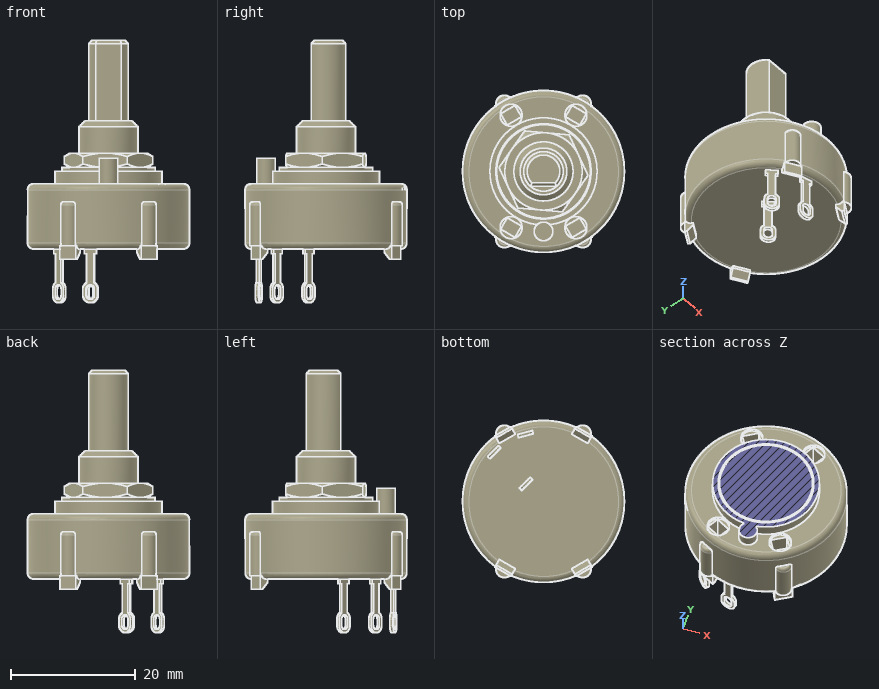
import cadquery as cq
import math

housing_radius = 13.0
housing_height = 10.5
housing_round = 1.0

collar_diameter = 17.2
collar_height = 2.0
washer_diameter = 15.0
washer_recess_diameter = 15.3
washer_recess_depth = 0.4
washer_height = 0.6
nut_across_flats = 12.4
nut_height = 2.3
nut_turn = -5.0
nut_chamfer_angle = 30.0

bushing_diameter = 9.5
bushing_chamfer = 1.0
bushing_top = 20.6

shaft_diameter = 6.35
shaft_flat_offset = 2.4
shaft_flat_sunk = 2.0
shaft_chamfer = 0.55
shaft_top = 33.51

post_diameter = 3.0
post_distance = 9.62
post_height = 4.1

snap_angles = (60.0, 120.0, 240.0, 300.0)
pocket_diameter = 3.55
pocket_distance = 10.4
pocket_depth = 0.5
window_length = 2.65
window_width = 2.1
window_depth = 6.0

rib_radius = 1.4
rib_distance = 12.5
rib_bottom = 0.5
rib_top = 7.6
rib_round = 0.5

hook_width = 2.95
hook_reach = 1.4
hook_tip_depth = 0.38
hook_bevel_top = -0.5
hook_bottom = -1.65

terminal_bottom = -8.6
terminal_thickness = 0.55
outer_terminal_angles = (225.0, 255.0)
outer_terminal_distance = 11.17
common_terminal_angle = 225.0
common_terminal_distance = 3.97
shoulder_width = 2.0
shoulder_depth = 0.75
stem_width = 1.25
eye_width = 2.47
eye_length = 3.4
eye_wall = 0.55

overlap = 0.5

collar_top = housing_height + collar_height
washer_top = collar_top + washer_height
flat_bottom = bushing_top - shaft_flat_sunk


def disc(diameter, bottom, top):
    """Upright cylinder on the part axis."""
    return cq.Workplane("XY").workplane(offset=bottom).circle(diameter / 2).extrude(top - bottom)


def place(body, angle, distance=0.0):
    """Move a body out along +X, then turn it about the part axis."""
    return body.translate((distance, 0, 0)).rotate((0, 0, 0), (0, 0, 1), angle)


def make_housing():
    return disc(2 * housing_radius, 0, housing_height).edges().fillet(housing_round)


def make_collar():
    """Collar with the washer seated in a shallow, slightly larger recess."""
    seat = collar_top - washer_recess_depth
    collar = disc(collar_diameter, housing_height - overlap, collar_top)
    collar = collar.cut(disc(washer_recess_diameter, seat, collar_top))
    return collar.union(disc(washer_diameter, seat - overlap, washer_top))


def make_nut():
    """Hexagon nut with its corners turned down to a cone at both ends."""
    corner_diameter = nut_across_flats / math.cos(math.pi / 6)
    corner_radius = corner_diameter / 2
    flat_radius = nut_across_flats / 2
    corner_drop = (corner_radius - flat_radius) * math.tan(math.radians(nut_chamfer_angle))
    hexagon = cq.Workplane("XY").polygon(6, corner_diameter).extrude(nut_height)
    envelope = (
        cq.Workplane("XZ")
        .moveTo(0, 0)
        .lineTo(flat_radius, 0)
        .lineTo(corner_radius, corner_drop)
        .lineTo(corner_radius, nut_height - corner_drop)
        .lineTo(flat_radius, nut_height)
        .lineTo(0, nut_height)
        .close()
        .revolve(360, (0, 0), (0, 1))
    )
    return place(hexagon.intersect(envelope), nut_turn).translate((0, 0, washer_top))


def make_bushing():
    """Chamfered bushing, bored for the shaft as deep as the shaft's flat reaches."""
    bushing = disc(bushing_diameter, washer_top - overlap, bushing_top)
    bushing = bushing.faces(">Z").chamfer(bushing_chamfer)
    return bushing.cut(disc(shaft_diameter, flat_bottom, bushing_top))


def make_shaft():
    """Round shaft with a chamfered end and a flat along one side."""
    shaft = disc(shaft_diameter, flat_bottom - overlap, shaft_top)
    waste = cq.Workplane("XY").box(
        shaft_diameter, shaft_diameter, shaft_top - flat_bottom, centered=(True, False, False)
    )
    shaft = shaft.cut(waste.translate((0, -shaft_flat_offset - shaft_diameter, flat_bottom)))
    return shaft.faces(">Z").chamfer(shaft_chamfer)


def make_post():
    post = disc(post_diameter, housing_height - overlap, housing_height + post_height)
    return post.translate((0, -post_distance, 0))


def make_pocket():
    """Tool for one round pocket with a rectangular window sunk in its floor."""
    floor = housing_height - pocket_depth
    window = cq.Workplane("XY").workplane(offset=floor).rect(window_width, window_length).extrude(-window_depth)
    return disc(pocket_diameter, floor, housing_height).union(window)


def make_rib():
    return disc(2 * rib_radius, rib_bottom, rib_top).faces(">Z").edges().fillet(rib_round)


def make_hook():
    """Snap hook: flush with the housing wall, bevelled on its inner side."""
    return (
        cq.Workplane("XZ")
        .moveTo(housing_radius, rib_bottom)
        .lineTo(housing_radius, hook_bottom)
        .lineTo(housing_radius - hook_tip_depth, hook_bottom)
        .lineTo(housing_radius - hook_reach, hook_bevel_top)
        .lineTo(housing_radius - hook_reach, rib_bottom)
        .close()
        .extrude(hook_width / 2, both=True)
    )


def lug_section(width, bottom):
    """Straight length of solder lug from just inside the housing down to a level."""
    return cq.Workplane("XY").box(
        terminal_thickness, width, overlap - bottom, centered=(True, True, False)
    ).translate((0, 0, bottom))


def lug_slot(length, width, center_height):
    """Upright round-ended piece through the thickness of a solder lug."""
    slot = cq.Workplane("YZ").center(0, center_height).slot2D(length, width, 90)
    return slot.extrude(terminal_thickness / 2, both=True)


def make_terminal():
    """Flat solder lug standing in the YZ plane, with an eye at its lower end."""
    eye_center = terminal_bottom + eye_length / 2
    lug = lug_section(shoulder_width, -shoulder_depth)
    lug = lug.union(lug_section(stem_width, eye_center))
    lug = lug.union(lug_slot(eye_length, eye_width, eye_center))
    return lug.cut(lug_slot(eye_length - 2 * eye_wall, eye_width - 2 * eye_wall, eye_center))


result = make_housing()
for angle in snap_angles:
    result = result.union(place(make_rib(), angle, rib_distance))
    result = result.union(place(make_hook(), angle))
    result = result.cut(place(make_pocket(), angle, pocket_distance))

for piece in (make_collar(), make_nut(), make_bushing(), make_shaft(), make_post()):
    result = result.union(piece)

for angle in outer_terminal_angles:
    result = result.union(place(make_terminal(), angle, outer_terminal_distance))
result = result.union(place(make_terminal(), common_terminal_angle, common_terminal_distance))